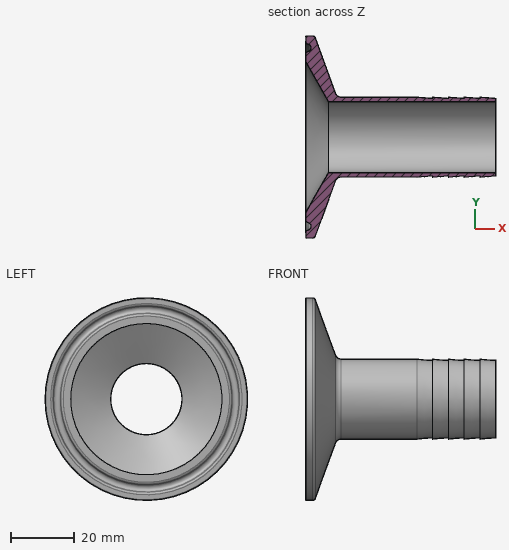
import cadquery as cq
import math

length = 60.0
flange_radius = 32.0
tube_radius = 12.7
bore_radius = 11.2

rim_edge_radius = 0.25
rim_straight_end = 2.2
rim_back_radius = 0.95
cone_angle = math.radians(20)
root_radius = 1.9

mouth_radius = 23.9
mouth_depth = 7.2

groove_middle_radius = 28.2
groove_half_width = 2.0
groove_lip_radius = 0.8
groove_wall_depth = 0.4
groove_wall_tilt = math.radians(20)

barb_count = 5
barb_pitch = 5.0
barb_tip_radius = 12.3


def arc_point(center_x, center_y, radius, angle):
    """Point on a circle at the given angle from +X."""
    return (center_x + radius * math.cos(angle), center_y + radius * math.sin(angle))


def make_outer_body():
    """Flange, tube and barbs as a solid of revolution."""
    rim_center = (rim_straight_end, flange_radius - rim_back_radius)
    cone_start = arc_point(*rim_center, rim_back_radius, cone_angle)
    rim_middle = arc_point(*rim_center, rim_back_radius, (math.pi / 2 + cone_angle) / 2)

    root_center_y = tube_radius + root_radius
    cone_end_y = root_center_y - root_radius * math.sin(cone_angle)
    cone_end_x = cone_start[0] + (cone_start[1] - cone_end_y) * math.tan(cone_angle)
    root_center_x = cone_end_x + root_radius * math.cos(cone_angle)
    root_middle_angle = math.pi + (math.pi / 2 + cone_angle) / 2
    root_middle = arc_point(root_center_x, root_center_y, root_radius, root_middle_angle)

    edge_center_y = flange_radius - rim_edge_radius
    edge_middle = arc_point(rim_edge_radius, edge_center_y, rim_edge_radius, math.radians(135))

    profile = (
        cq.Workplane("XY")
        .moveTo(0, 0)
        .lineTo(0, edge_center_y)
        .threePointArc(edge_middle, (rim_edge_radius, flange_radius))
        .lineTo(rim_straight_end, flange_radius)
        .threePointArc(rim_middle, cone_start)
        .lineTo(cone_end_x, cone_end_y)
        .threePointArc(root_middle, (root_center_x, tube_radius))
    )
    barbs_start = length - barb_count * barb_pitch
    for index in range(barb_count):
        barb_start = barbs_start + index * barb_pitch
        profile = profile.lineTo(barb_start, tube_radius)
        profile = profile.lineTo(barb_start + barb_pitch, barb_tip_radius)
    profile = profile.lineTo(length, 0).close()
    return profile.revolve(360, (0, 0, 0), (1, 0, 0))


def make_bore():
    """Conical mouth and straight bore through the whole length."""
    return (
        cq.Workplane("XY")
        .polyline([
            (0, 0),
            (0, mouth_radius),
            (mouth_depth, bore_radius),
            (length, bore_radius),
            (length, 0),
        ])
        .close()
        .revolve(360, (0, 0, 0), (1, 0, 0))
    )


def make_gasket_groove():
    """Round-bottomed ring groove with rounded lips."""
    lip_end_depth = groove_lip_radius * (1 - math.sin(groove_wall_tilt))
    lip_end_offset = groove_half_width - groove_lip_radius * math.cos(groove_wall_tilt)
    lip_middle_angle = (math.pi / 2 - groove_wall_tilt) / 2
    lip_middle_depth = groove_lip_radius * (1 - math.cos(lip_middle_angle))
    lip_middle_offset = groove_half_width - groove_lip_radius * math.sin(lip_middle_angle)

    floor_start_depth = lip_end_depth + groove_wall_depth
    floor_start_offset = lip_end_offset - groove_wall_depth * math.tan(groove_wall_tilt)
    floor_radius = floor_start_offset / math.cos(groove_wall_tilt)
    bottom_depth = floor_start_depth + floor_radius * (1 - math.sin(groove_wall_tilt))

    middle = groove_middle_radius
    return (
        cq.Workplane("XY")
        .moveTo(0, middle - groove_half_width)
        .threePointArc(
            (lip_middle_depth, middle - lip_middle_offset),
            (lip_end_depth, middle - lip_end_offset),
        )
        .lineTo(floor_start_depth, middle - floor_start_offset)
        .threePointArc((bottom_depth, middle), (floor_start_depth, middle + floor_start_offset))
        .lineTo(lip_end_depth, middle + lip_end_offset)
        .threePointArc(
            (lip_middle_depth, middle + lip_middle_offset),
            (0, middle + groove_half_width),
        )
        .close()
        .revolve(360, (0, 0, 0), (1, 0, 0))
    )


result = make_outer_body().cut(make_bore()).cut(make_gasket_groove())